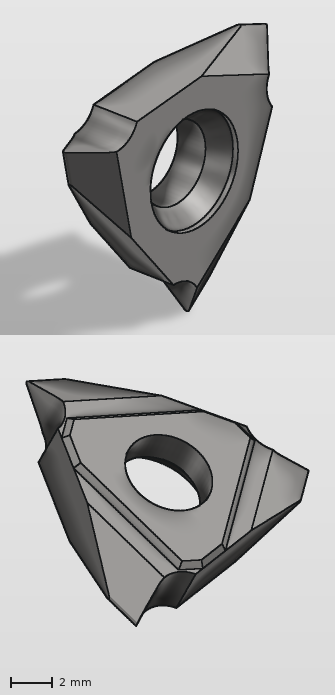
import cadquery as cq
import math

TOOTH_COUNT = 3
TOOTH_STEP = 360 / TOOTH_COUNT
TOOTH_TILT = 18.0

TOTAL_THICKNESS = 3.18
RAISE = 0.3
BODY_THICKNESS = TOTAL_THICKNESS - RAISE
SEAT_X = -BODY_THICKNESS / 2
BACK_X = BODY_THICKNESS / 2

TIP_OUT = 6.95
TIP_START = -4.82
TIP_END = -2.92
RAKE_FOOT = (-4.18, 5.2)
HEEL = (5.18, 2.63)

CREST_X = -0.03
SEAT_FLANK_OUT = 4.72
BACK_FLANK_OUT = 4.85
CREST_SHARP_OUT = 7.1
NOSE_RADIUS = 0.17

PAD_OUT = 3.75
PAD_CORNER_OUT = 5.5
PAD_CORNER_ANGLE = TOOTH_STEP / 4
PAD_TAPER = 45.0

BORE_RADIUS = 2.25
STRAIGHT_BORE_DEPTH = 1.86
HEAD_RADIUS = 3.15
HEAD_RIM_DEPTH = 0.33

CUT_REACH = 8.7


def turn(point, tooth):
    """Move a point of the flat tooth frame to the given tooth."""
    angle = math.radians(tooth * TOOTH_STEP)
    along, out = point
    return (
        along * math.cos(angle) - out * math.sin(angle),
        along * math.sin(angle) + out * math.cos(angle),
    )


def face_plane(x):
    """Plane at x, facing -X, whose axes are the along and out directions of the first tooth."""
    tilt = math.radians(TOOTH_TILT)
    return cq.Plane(
        origin=(x, 0, 0),
        xDir=(0, -math.cos(tilt), math.sin(tilt)),
        normal=(-1, 0, 0),
    )


def outline_prism(x, height):
    """Outline of the whole insert, extruded toward -X."""
    sketch = cq.Workplane(face_plane(x)).moveTo(*HEEL)
    for tooth in range(TOOTH_COUNT):
        sketch = (
            sketch.lineTo(*turn((TIP_END, TIP_OUT), tooth))
            .lineTo(*turn((TIP_START, TIP_OUT), tooth))
            .lineTo(*turn(RAKE_FOOT, tooth))
            .tangentArcPoint(turn(HEEL, tooth + 1), relative=False)
        )
    return sketch.close().extrude(height)


def tooth_profile():
    """Bar along the tip edge of the first tooth, with the rounded V profile as its outer side."""
    tilt = math.radians(TOOTH_TILT)
    section = cq.Plane(
        origin=(0, 0, 0),
        xDir=(1, 0, 0),
        normal=(0, -math.cos(tilt), math.sin(tilt)),
    )
    bar = (
        cq.Workplane(section)
        .moveTo(SEAT_X, -CUT_REACH)
        .lineTo(SEAT_X, SEAT_FLANK_OUT)
        .lineTo(CREST_X, CREST_SHARP_OUT)
        .lineTo(BACK_X, BACK_FLANK_OUT)
        .lineTo(BACK_X, -CUT_REACH)
        .close()
        .extrude(CUT_REACH, both=True)
    )
    crest = cq.selectors.NearestToPointSelector(
        (CREST_X, CREST_SHARP_OUT * math.sin(tilt), CREST_SHARP_OUT * math.cos(tilt))
    )
    return bar.edges(crest).fillet(NOSE_RADIUS)


def raised_pad():
    """Tapered pad: a triangle with cut corners, also held inside the relief edges."""
    relief_slope = (HEEL[1] - TIP_OUT) / (HEEL[0] - TIP_END)
    relief_start = (TIP_END + (PAD_OUT - TIP_OUT) / relief_slope, PAD_OUT)

    corner = math.radians(PAD_CORNER_ANGLE)
    corner_cos = math.cos(corner)
    corner_sin = math.sin(corner)
    relief_height = TIP_OUT - relief_slope * TIP_END
    corner_run = PAD_CORNER_OUT - relief_height * corner_sin
    corner_along = corner_run / (corner_cos + relief_slope * corner_sin)
    corner_start = (corner_along, relief_height + relief_slope * corner_along)

    seat_start = turn(((PAD_OUT * corner_sin - PAD_CORNER_OUT) / corner_cos, PAD_OUT), -1)

    points = []
    for tooth in range(TOOTH_COUNT):
        for point in (relief_start, corner_start, seat_start):
            points.append(turn(point, -tooth))
    return cq.Workplane(face_plane(SEAT_X)).polyline(points).close().extrude(RAISE, taper=PAD_TAPER)


def screw_hole():
    """Bore widening through a countersink to a short straight rim at the back face."""
    raised_x = SEAT_X - RAISE
    sink_x = raised_x + STRAIGHT_BORE_DEPTH
    rim_x = BACK_X - HEAD_RIM_DEPTH
    return (
        cq.Workplane("XY")
        .moveTo(raised_x, 0)
        .lineTo(raised_x, BORE_RADIUS)
        .lineTo(sink_x, BORE_RADIUS)
        .lineTo(rim_x, HEAD_RADIUS)
        .lineTo(BACK_X, HEAD_RADIUS)
        .lineTo(BACK_X, 0)
        .close()
        .revolve(360, (0, 0, 0), (1, 0, 0))
    )


body = outline_prism(BACK_X, BODY_THICKNESS)
profile = tooth_profile()
for tooth in range(TOOTH_COUNT):
    body = body.intersect(profile.rotate((0, 0, 0), (1, 0, 0), -tooth * TOOTH_STEP))

pad = raised_pad().intersect(outline_prism(BACK_X, TOTAL_THICKNESS))
result = body.union(pad).cut(screw_hole())